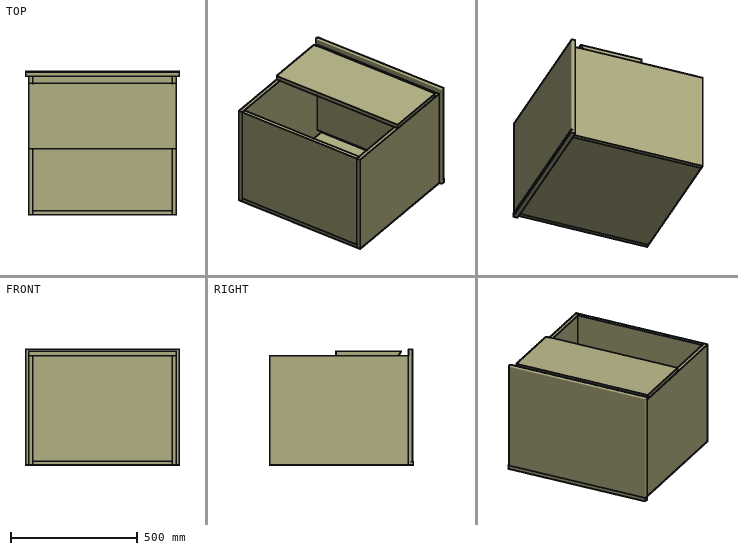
import cadquery as cq

door_width = 610.0
door_height = 460.0
overall_depth = 569.0
board = 16.0

door_thickness = 17.0
door_side_overhang = 12.0
corner_radius = 2.0
outer_radius = 5.0
inner_radius = 3.0
lip_depth = 2.5
lip_height = 14.5
lip_radius = 2.5

case_width = door_width - 2 * door_side_overhang
inner_width = case_width - 2 * board
case_depth = overall_depth - door_thickness - lip_depth
case_height = 434.5

back_thickness = 28.0
back_gap = 28.0

lid_thickness = 17.5
lid_rear = 27.5
lid_front = 287.5
lid_undercut = 11.0


def board_between(x_min, x_max, y_min, y_max, z_min, z_max):
    """A square-edged board filling the given limits."""
    size = (x_max - x_min, y_max - y_min, z_max - z_min)
    return cq.Workplane("XY").box(*size, centered=False).translate((x_min, y_min, z_min))


def make_side(direction):
    """One side board of the case; direction is -1 for left and 1 for right."""
    centre = direction * (inner_width + board) / 2
    return board_between(centre - board / 2, centre + board / 2, -case_depth, 0, 0, case_height)


def make_front():
    """The front board, standing on the floor between the sides."""
    return board_between(
        -inner_width / 2, inner_width / 2, -case_depth, board - case_depth, board, case_height
    )


def make_floor():
    """The floor board between the sides, running the full depth of the case."""
    return board_between(-inner_width / 2, inner_width / 2, -case_depth, 0, 0, board)


def make_back():
    """The thick back board, flush with the top and back of the sides."""
    return board_between(
        -inner_width / 2, inner_width / 2, -back_thickness, 0, board + back_gap, case_height
    )


def make_lid():
    """The lid, resting on the rear part of the case."""
    profile = [
        (-lid_front, case_height),
        (-lid_rear - lid_undercut, case_height),
        (-lid_rear, case_height + lid_thickness),
        (-lid_front, case_height + lid_thickness),
    ]
    return cq.Workplane("YZ").polyline(profile).close().extrude(case_width / 2, both=True)


def make_door():
    """The door against the back of the case, its bottom edge left square."""
    panel = board_between(-door_width / 2, door_width / 2, 0, door_thickness, 0, door_height)
    panel = panel.edges("|Y").edges(">Z").fillet(corner_radius)
    panel = panel.faces(">Y").edges("not <Z").fillet(outer_radius)
    lip = board_between(-door_width / 2, door_width / 2, 0, door_thickness + lip_depth, 0, lip_height)
    lip = lip.faces(">Y").edges("not <Z").fillet(lip_radius)
    door = panel.union(lip)
    return door.faces("<Y").edges("not <Z").fillet(inner_radius)


sides = [make_side(direction) for direction in (-1, 1)]
front = make_front()
floor = make_floor()
back = make_back()
lid = make_lid()
door = make_door()

result = cq.Compound.makeCompound([
    *[side.val() for side in sides],
    front.val(),
    floor.val(),
    back.val(),
    lid.val(),
    door.val(),
])